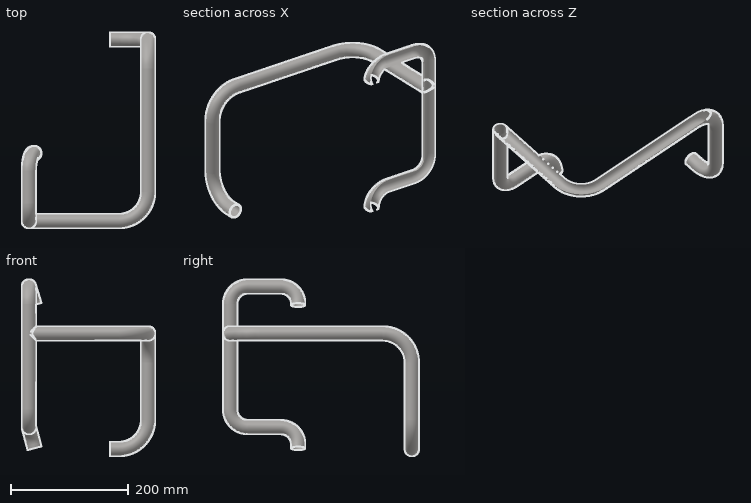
import cadquery as cq
import math

size_x = 228.7
size_y = 335.3
size_z = 302.8

tube_diameter = 25.0
wall = 1.5
bore_diameter = tube_diameter - 2 * wall

hook_bend_radius = 30.0
hook_top_z = 80.0
hook_height = 240.0
arm_reach = 116.0
top_tip_straight = 3.5
top_tip_tilt = 17
bottom_tip_straight = 7.7
bottom_tip_tilt = 15

branch_bend_radius = 50.0
branch_span_x = size_x - tube_diameter
branch_span_y = size_y - tube_diameter
branch_drop = size_z - tube_diameter - hook_top_z
foot_straight = 15.5


def bent_path(corners, bend_radius):
    """Centreline through the corner points, each right-angled corner rounded by an arc."""
    points = [cq.Vector(*corner) for corner in corners]
    edges = []
    start = points[0]
    for before, corner, after in zip(points, points[1:], points[2:]):
        inward = (before - corner).normalized()
        outward = (after - corner).normalized()
        arc_start = corner + inward * bend_radius
        arc_end = corner + outward * bend_radius
        arc_middle = corner + (inward + outward) * (bend_radius * (1 - math.sqrt(0.5)))
        edges.append(cq.Edge.makeLine(start, arc_start))
        edges.append(cq.Edge.makeThreePointArc(arc_start, arc_middle, arc_end))
        start = arc_end
    edges.append(cq.Edge.makeLine(start, points[-1]))
    return cq.Wire.assembleEdges(edges)


def rod(path, diameter):
    """Round solid swept along a centreline."""
    section = cq.Workplane(cq.Plane(origin=path.startPoint(), normal=path.tangentAt(0)))
    return section.circle(diameter / 2).sweep(cq.Workplane(obj=path))


def tip_end(arm_z, straight, tilt):
    """End point of a hook tip, leaning towards +X by the tilt angle from straight down."""
    length = hook_bend_radius + straight
    angle = math.radians(tilt)
    return (length * math.sin(angle), arm_reach, arm_z - length * math.cos(angle))


hook_bottom_z = hook_top_z - hook_height
hook_path = bent_path(
    [
        tip_end(hook_top_z, top_tip_straight, top_tip_tilt),
        (0, arm_reach, hook_top_z),
        (0, 0, hook_top_z),
        (0, 0, hook_bottom_z),
        (0, arm_reach, hook_bottom_z),
        tip_end(hook_bottom_z, bottom_tip_straight, bottom_tip_tilt),
    ],
    hook_bend_radius,
)
foot_end_x = branch_span_x - branch_bend_radius - foot_straight
branch_path = bent_path(
    [
        (0, 0, 0),
        (branch_span_x, 0, 0),
        (branch_span_x, branch_span_y, 0),
        (branch_span_x, branch_span_y, -branch_drop),
        (foot_end_x, branch_span_y, -branch_drop),
    ],
    branch_bend_radius,
)

hook_rod = rod(hook_path, tube_diameter)
hook = hook_rod.cut(rod(hook_path, bore_diameter))
branch = rod(branch_path, tube_diameter).cut(rod(branch_path, bore_diameter)).cut(hook_rod)
result = hook.union(branch)